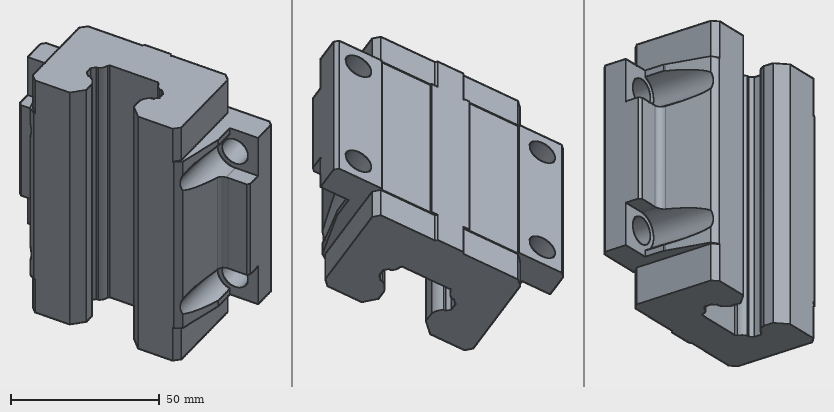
import cadquery as cq
import math


length = 97.7
width = 90.0
height = 36.0
body_length = 70.05

flange_thickness = 16.0
flange_top_chamfer = 1.4
flange_bottom_chamfer = 1.0
flange_root_radius = 2.9
selection_margin = 0.1

skirt_half_width = 29.8
skirt_foot_half_width = 27.4
skirt_foot_height = 1.7
skirt_angle = 14.0

relief_depth = 0.4
relief_inner_half_width = 7.3
relief_outer_half_width = 27.0

cap_width = 58.0
cap_drop = 0.7
cap_chamfer = 2.15
cap_pad_half_width = 5.0

slot_top = height - 15.9
slot_wall_half_width = 9.3
slot_mouth_chamfer = 4.1
slot_top_half_width = 9.4
slot_top_chamfer = 0.6
groove_center_height = height - 21.9
groove_half_height = 2.7
groove_half_width = 14.2
groove_chamfer = 1.4
neck_half_width = 12.0
lip_half_height = 6.2
lip_bulge = 0.4

hole_diameter = 10.1
hole_spacing_x = 72.0
hole_spacing_z = 52.0
spotface_radius = 6.9
seat_thickness = 10.0
seat_half_width = 34.0


def extrude_along_z(profile, depth):
    """Extrude an XY profile so that it is centred on Z = 0."""
    return profile.extrude(depth / 2, both=True)


def right_and_left(points):
    """Complete a half outline, listed from the mounting face downwards, with its mirror image."""
    return points + [(-x, y) for x, y in reversed(points)]


def make_body():
    half_width = width / 2
    flange_bottom = height - flange_thickness
    slope_rise = flange_bottom - skirt_foot_height
    root_half_width = skirt_half_width + slope_rise * math.tan(math.radians(skirt_angle))
    outline = right_and_left([
        (relief_inner_half_width, height),
        (relief_inner_half_width + relief_depth, height - relief_depth),
        (relief_outer_half_width - relief_depth, height - relief_depth),
        (relief_outer_half_width, height),
        (half_width - flange_top_chamfer, height),
        (half_width, height - flange_top_chamfer),
        (half_width, flange_bottom + flange_bottom_chamfer),
        (half_width - flange_bottom_chamfer, flange_bottom),
        (root_half_width, flange_bottom),
        (skirt_half_width, skirt_foot_height),
        (skirt_foot_half_width, 0),
    ])
    body = extrude_along_z(cq.Workplane("XY").polyline(outline).close(), body_length)
    root_edges = cq.selectors.BoxSelector(
        (-root_half_width - selection_margin, flange_bottom - selection_margin, -body_length),
        (root_half_width + selection_margin, flange_bottom + selection_margin, body_length),
    )
    return body.edges(root_edges).fillet(flange_root_radius)


def make_full_length_block():
    """Block whose two ends become the end caps."""
    half_width = cap_width / 2
    cap_top = height - cap_drop
    outline = right_and_left([
        (cap_pad_half_width, height),
        (cap_pad_half_width + cap_drop, cap_top),
        (half_width - cap_chamfer, cap_top),
        (half_width, cap_top - cap_chamfer),
        (half_width, cap_chamfer),
        (half_width - cap_chamfer, 0),
    ])
    return extrude_along_z(cq.Workplane("XY").polyline(outline).close(), length)


def make_rail_slot():
    groove_top = groove_center_height + groove_half_height
    groove_bottom = groove_center_height - groove_half_height
    groove_flat_half_width = groove_half_width - groove_chamfer
    half_profile = (
        cq.Workplane("XY")
        .moveTo(0, slot_top)
        .lineTo(slot_top_half_width, slot_top)
        .line(slot_top_chamfer, -slot_top_chamfer)
        .sagittaArc((neck_half_width, groove_top), -lip_bulge)
        .lineTo(groove_flat_half_width, groove_top)
        .line(groove_chamfer, -groove_chamfer)
        .lineTo(groove_half_width, groove_bottom + groove_chamfer)
        .line(-groove_chamfer, -groove_chamfer)
        .lineTo(neck_half_width, groove_bottom)
        .sagittaArc((slot_wall_half_width, groove_center_height - lip_half_height), -lip_bulge)
        .lineTo(slot_wall_half_width, slot_mouth_chamfer)
        .line(slot_mouth_chamfer, -slot_mouth_chamfer)
        .lineTo(0, 0)
        .close()
    )
    right_half = extrude_along_z(half_profile, length)
    return right_half.union(right_half.mirror("YZ"))


def cylinder_along_y(x, z, radius, top):
    """Cylinder from Y = 0 up to the given height."""
    axis_start = cq.Vector(x, 0, z)
    return cq.Workplane(cq.Solid.makeCylinder(radius, top, axis_start, cq.Vector(0, 1, 0)))


def seat_box(side, end, x_inner, x_outer, z_inner, z_outer):
    """Box below the bolt seat, given by distances from the middle of the part."""
    seat_height = height - seat_thickness
    box = cq.Workplane("XY").box(x_outer - x_inner, seat_height, z_outer - z_inner)
    return box.translate((
        side * (x_inner + x_outer) / 2,
        seat_height / 2,
        end * (z_inner + z_outer) / 2,
    ))


def make_bolt_cut(side, end):
    """Bolt hole with its seat, which is open to the flange corner and to the rail side."""
    x = side * hole_spacing_x / 2
    z = end * hole_spacing_z / 2
    seat_height = height - seat_thickness
    hole = cylinder_along_y(x, z, hole_diameter / 2, height)
    spotface = cylinder_along_y(x, z, spotface_radius, seat_height)
    outer_side = width / 2
    body_end = body_length / 2
    hole_x = hole_spacing_x / 2
    hole_z = hole_spacing_z / 2
    side_opening = seat_box(side, end, hole_x, outer_side, hole_z - spotface_radius, body_end)
    end_opening = seat_box(side, end, seat_half_width, outer_side, hole_z, body_end)
    return hole.union(spotface).union(side_opening).union(end_opening)


body = make_body()
for side in (-1, 1):
    for end in (-1, 1):
        body = body.cut(make_bolt_cut(side, end))

body_space = cq.Workplane("XY").box(width, 2 * height, body_length)
end_caps = make_full_length_block().cut(body_space)
result = body.union(end_caps).cut(make_rail_slot())